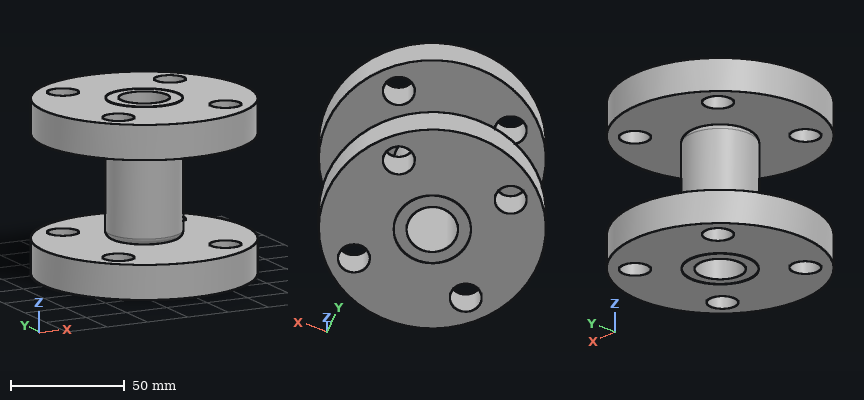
import cadquery as cq

TOTAL_HEIGHT = 80.0
FLANGE_DIAMETER = 100.0
FLANGE_THICKNESS = 16.0
RAISED_FACE_HEIGHT = 0.3
RAISED_FACE_DIAMETER = 34.0
BORE_DIAMETER = 22.6

BOLT_CIRCLE_DIAMETER = 75.0
BOLT_HOLE_DIAMETER = 14.0
BOLT_COUNT = 4
FIRST_BOLT_ANGLE = 45.0

BODY_DIAMETER = 34.5
BODY_EDGE_RADIUS = 3.0
NECK_LENGTH = 0.7
NECK_DIAMETER = 24.5

FLANGE_OUTER_Z = TOTAL_HEIGHT / 2 - RAISED_FACE_HEIGHT
FLANGE_INNER_Z = FLANGE_OUTER_Z - FLANGE_THICKNESS
BODY_LENGTH = 2 * (FLANGE_INNER_Z - NECK_LENGTH)


def centred_cylinder(diameter, length):
    return cq.Workplane("XY").circle(diameter / 2).extrude(length / 2, both=True)


def make_upper_flange():
    flange = (
        cq.Workplane("XY", origin=(0, 0, FLANGE_INNER_Z))
        .circle(FLANGE_DIAMETER / 2)
        .extrude(FLANGE_THICKNESS)
    )
    bolt_holes = (
        cq.Workplane("XY", origin=(0, 0, FLANGE_INNER_Z))
        .polarArray(BOLT_CIRCLE_DIAMETER / 2, FIRST_BOLT_ANGLE, 360, BOLT_COUNT)
        .circle(BOLT_HOLE_DIAMETER / 2)
        .extrude(FLANGE_THICKNESS)
    )
    raised_face = (
        cq.Workplane("XY", origin=(0, 0, FLANGE_OUTER_Z))
        .circle(RAISED_FACE_DIAMETER / 2)
        .extrude(RAISED_FACE_HEIGHT)
    )
    return flange.cut(bolt_holes).union(raised_face)


def make_body():
    body = centred_cylinder(BODY_DIAMETER, BODY_LENGTH).edges("%CIRCLE").fillet(BODY_EDGE_RADIUS)
    neck = centred_cylinder(NECK_DIAMETER, 2 * FLANGE_INNER_Z)
    return body.union(neck)


upper_flange = make_upper_flange()
lower_flange = upper_flange.mirror("XY")
bore = centred_cylinder(BORE_DIAMETER, TOTAL_HEIGHT)

result = make_body().union(upper_flange).union(lower_flange).cut(bore)